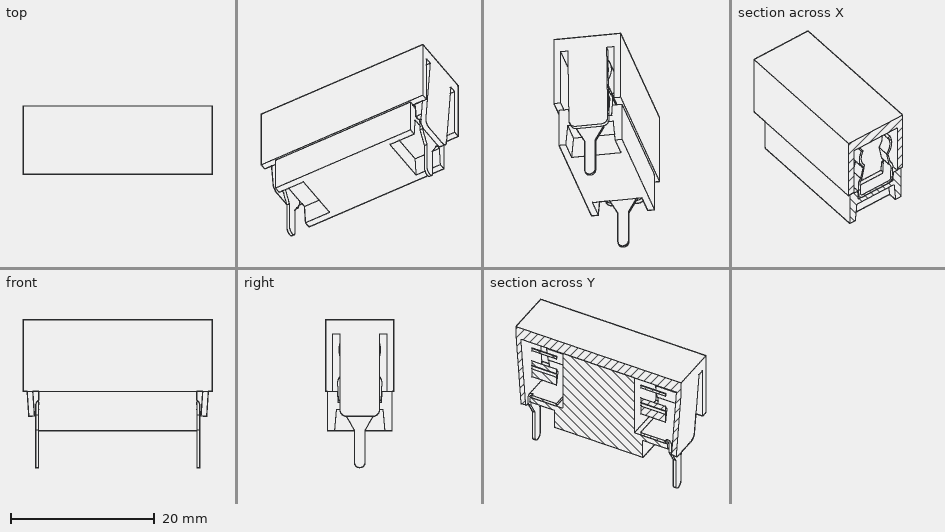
import cadquery as cq
import math


COVER_LENGTH = 26.3
COVER_WIDTH = 9.5
COVER_HEIGHT = 10.0
COVER_ROOF = 2.0
CHANNEL_WIDTH = 7.55
CEILING_Z = COVER_HEIGHT - COVER_ROOF

FLAP_WIDTH = 5.5
FLAP_THICKNESS = 0.82
FLAP_LENGTH = 11.5
FLAP_LEAN = 3.9
FLAP_CORNER_RADIUS = 0.92
FLAP_ROOT = 0.53

SHEET = 0.42
FINGER_LENGTH = 3.95
FINGER_BEND_RADIUS = 0.6
PIN_BEND_RADIUS = 0.75
SHOULDER_WIDTH = 3.9
SHOULDER_BOTTOM_Z = -3.3
PIN_WIDTH = 1.5
PIN_TOP_Z = -5.37
OVERALL_HEIGHT = 20.6
TIP_Z = COVER_HEIGHT - OVERALL_HEIGHT

FINGER_FOOT_HALF = 2.97
ELBOW_HALF = 3.08
ELBOW_Z = 1.15
ELBOW_RADIUS = 1.45
ELBOW_SWEEP = 45.0
GRIP_Z = 5.79
GRIP_RADIUS = 2.9
GRIP_LOW_ANGLE = -40.0
GRIP_HIGH_ANGLE = 30.0

BASE_LENGTH = 21.95
BASE_WIDTH = 8.97
BASE_BOTTOM_Z = -5.47
POCKET_FLOOR_Z = -1.55
POCKET_TOP_WIDTH = 6.2
POCKET_FLOOR_WIDTH = 6.0
POCKET_LENGTH = 5.25
NOTCH_CEILING_Z = -2.5
NOTCH_TOP_WIDTH = 6.47
NOTCH_BOTTOM_WIDTH = 7.0
NOTCH_LENGTH = 3.95

BASE_END_X = BASE_LENGTH / 2
PIN_BEND_X = BASE_END_X + SHEET - PIN_BEND_RADIUS
FLANGE_TOP_Z = POCKET_FLOOR_Z + SHEET
PIN_BEND_Z = FLANGE_TOP_Z - PIN_BEND_RADIUS
FINGER_BEND_Y = FINGER_FOOT_HALF - FINGER_BEND_RADIUS
FINGER_BEND_Z = POCKET_FLOOR_Z + FINGER_BEND_RADIUS


def block(length, width, bottom, top):
    """Box centred on X and Y between two heights."""
    return cq.Workplane("XY", origin=(0, 0, bottom)).rect(length, width).extrude(top - bottom)


def at_end(end, body):
    """Body modelled at the +X end, placed at the +X (end = 1) or -X (end = -1) end."""
    return body if end > 0 else body.mirror("YZ")


def polar(center, radius, degrees):
    """Point on a circle, with the angle counted from the first axis of the sketch."""
    angle = math.radians(degrees)
    return (center[0] + radius * math.cos(angle), center[1] + radius * math.sin(angle))


def make_flap():
    """Flap flush with the cover end at the ceiling and leaning inward below it."""
    return (
        cq.Workplane("XY")
        .box(FLAP_THICKNESS, FLAP_WIDTH, FLAP_LENGTH + FLAP_ROOT, centered=(False, True, False))
        .translate((-FLAP_THICKNESS, 0, -FLAP_LENGTH))
        .edges("|X and <Z")
        .fillet(FLAP_CORNER_RADIUS)
        .rotate((0, 0, 0), (0, 1, 0), FLAP_LEAN)
        .translate((COVER_LENGTH / 2, 0, CEILING_Z))
        .intersect(block(COVER_LENGTH, COVER_WIDTH, TIP_Z, COVER_HEIGHT))
    )


def make_cover():
    cover = block(COVER_LENGTH, COVER_WIDTH, 0, COVER_HEIGHT)
    cover = cover.cut(block(COVER_LENGTH, CHANNEL_WIDTH, 0, CEILING_Z))
    for end in (-1, 1):
        cover = cover.union(at_end(end, make_flap()))
    return cover


def make_end_recess(bottom, bottom_width, top, top_width, length):
    """Tapered cutter that opens through the +X end face of the base."""
    return (
        cq.Workplane("YZ", origin=(BASE_END_X - length, 0, 0))
        .polyline(
            [
                (-bottom_width / 2, bottom),
                (bottom_width / 2, bottom),
                (top_width / 2, top),
                (-top_width / 2, top),
            ]
        )
        .close()
        .extrude(length)
    )


def make_base(clips):
    """Tray with a central block under the cover, hollowed at each end."""
    base = block(BASE_LENGTH, BASE_WIDTH, BASE_BOTTOM_Z, 0)
    block_length = BASE_LENGTH - 2 * POCKET_LENGTH
    base = base.union(block(block_length, CHANNEL_WIDTH, 0, CEILING_Z))
    pocket = make_end_recess(POCKET_FLOOR_Z, POCKET_FLOOR_WIDTH, 0, POCKET_TOP_WIDTH, POCKET_LENGTH)
    notch = make_end_recess(
        BASE_BOTTOM_Z, NOTCH_BOTTOM_WIDTH, NOTCH_CEILING_Z, NOTCH_TOP_WIDTH, NOTCH_LENGTH
    )
    for end in (-1, 1):
        base = base.cut(at_end(end, pocket)).cut(at_end(end, notch))
    for clip in clips:
        base = base.cut(clip)
    return base


def make_finger():
    """Half of the clip cross-section on the +Y side: flange, leg, elbow and grip."""
    bend = (FINGER_BEND_Y, FINGER_BEND_Z)
    elbow = (ELBOW_HALF - ELBOW_RADIUS, ELBOW_Z)
    grip = (0, GRIP_Z)
    bend_inner = FINGER_BEND_RADIUS - SHEET
    elbow_inner = ELBOW_RADIUS - SHEET
    grip_inner = GRIP_RADIUS - SHEET
    grip_middle_angle = (GRIP_LOW_ANGLE + GRIP_HIGH_ANGLE) / 2
    return (
        cq.Workplane("YZ", origin=(PIN_BEND_X - FINGER_LENGTH, 0, 0))
        .moveTo(0, POCKET_FLOOR_Z)
        .lineTo(*polar(bend, FINGER_BEND_RADIUS, -90))
        .threePointArc(polar(bend, FINGER_BEND_RADIUS, -45), polar(bend, FINGER_BEND_RADIUS, 0))
        .lineTo(*polar(elbow, ELBOW_RADIUS, 0))
        .threePointArc(
            polar(elbow, ELBOW_RADIUS, ELBOW_SWEEP / 2), polar(elbow, ELBOW_RADIUS, ELBOW_SWEEP)
        )
        .lineTo(*polar(grip, GRIP_RADIUS, GRIP_LOW_ANGLE))
        .threePointArc(
            polar(grip, GRIP_RADIUS, grip_middle_angle), polar(grip, GRIP_RADIUS, GRIP_HIGH_ANGLE)
        )
        .lineTo(*polar(grip, grip_inner, GRIP_HIGH_ANGLE))
        .threePointArc(
            polar(grip, grip_inner, grip_middle_angle), polar(grip, grip_inner, GRIP_LOW_ANGLE)
        )
        .lineTo(*polar(elbow, elbow_inner, ELBOW_SWEEP))
        .threePointArc(polar(elbow, elbow_inner, ELBOW_SWEEP / 2), polar(elbow, elbow_inner, 0))
        .lineTo(*polar(bend, bend_inner, 0))
        .threePointArc(polar(bend, bend_inner, -45), polar(bend, bend_inner, -90))
        .lineTo(0, FLANGE_TOP_Z)
        .close()
        .extrude(FINGER_LENGTH)
    )


def make_pin_bend():
    """Quarter bend that turns the flange down over the end of the base."""
    center = (PIN_BEND_X, PIN_BEND_Z)
    inner = PIN_BEND_RADIUS - SHEET
    return (
        cq.Workplane("XZ")
        .moveTo(*polar(center, PIN_BEND_RADIUS, 0))
        .threePointArc(polar(center, PIN_BEND_RADIUS, 45), polar(center, PIN_BEND_RADIUS, 90))
        .lineTo(*polar(center, inner, 90))
        .threePointArc(polar(center, inner, 45), polar(center, inner, 0))
        .close()
        .extrude(SHOULDER_WIDTH / 2, both=True)
    )


def make_pin():
    """Flat pin on the base end face, tapering from its shoulder to a round tip."""
    shoulder = SHOULDER_WIDTH / 2
    half = PIN_WIDTH / 2
    return (
        cq.Workplane("YZ", origin=(BASE_END_X, 0, 0))
        .moveTo(-shoulder, PIN_BEND_Z)
        .lineTo(-shoulder, SHOULDER_BOTTOM_Z)
        .lineTo(-half, PIN_TOP_Z)
        .lineTo(-half, TIP_Z + half)
        .threePointArc((0, TIP_Z), (half, TIP_Z + half))
        .lineTo(half, PIN_TOP_Z)
        .lineTo(shoulder, SHOULDER_BOTTOM_Z)
        .lineTo(shoulder, PIN_BEND_Z)
        .close()
        .extrude(SHEET)
    )


def make_clip(end):
    finger = make_finger()
    clip = finger.union(finger.mirror("XZ")).union(make_pin_bend()).union(make_pin())
    return at_end(end, clip)


clips = [make_clip(end) for end in (-1, 1)]
cover = make_cover()
base = make_base(clips)

bodies = [cover, base, *clips]
result = cq.Compound.makeCompound([body.solids().val() for body in bodies])